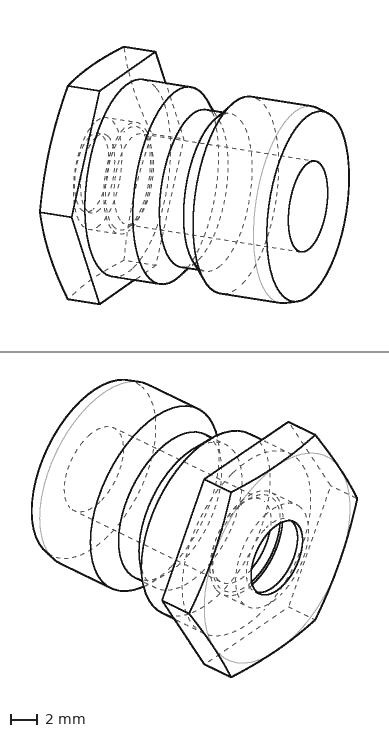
import cadquery as cq
import math

total_length = 18.0
head_thickness = 3.0
front_land_length = 3.98
groove_floor_length = 2.0
tip_chamfer_length = 1.0

across_corners = 19.63
across_flats = across_corners * math.cos(math.radians(30))
body_radius = 15.0 / 2
groove_radius = 12.0 / 2
chamfer_angle = math.radians(15)

entry_radius = 6.0 / 2
entry_lip = 0.5
recess_radius = 8.5 / 2
recess_end = 3.0
bore_radius = 6.9 / 2
bore_chamfer = 0.5


def revolve_about_x(points):
    """Solid of revolution from (x, radius) points, about the X axis."""
    return cq.Workplane("XY").polyline(points).close().revolve(360, (0, 0, 0), (1, 0, 0))


def hex_head():
    """Hexagon with corners on +Y and -Y, its outer corners cut by a shallow cone."""
    hexagon = cq.Workplane("YZ").polygon(6, across_corners).extrude(head_thickness)
    face_radius = across_flats / 2
    cone_radius = face_radius + head_thickness / math.tan(chamfer_angle)
    cone = revolve_about_x([
        (0, 0),
        (0, face_radius),
        (head_thickness, cone_radius),
        (head_thickness, 0),
    ])
    return hexagon.intersect(cone)


def grooved_body():
    """Round body with a 45 degree sided groove and a chamfered tip."""
    groove_depth = body_radius - groove_radius
    groove_start = head_thickness + front_land_length
    floor_start = groove_start + groove_depth
    floor_end = floor_start + groove_floor_length
    tip_radius = body_radius - tip_chamfer_length * math.tan(chamfer_angle)
    return revolve_about_x([
        (head_thickness, 0),
        (head_thickness, body_radius),
        (groove_start, body_radius),
        (floor_start, groove_radius),
        (floor_end, groove_radius),
        (floor_end + groove_depth, body_radius),
        (total_length - tip_chamfer_length, body_radius),
        (total_length, tip_radius),
        (total_length, 0),
    ])


def stepped_bore():
    """Narrow entry lip, wider recess, then a chamfered bore through to the tip."""
    return revolve_about_x([
        (0, 0),
        (0, entry_radius),
        (entry_lip, entry_radius),
        (entry_lip, recess_radius),
        (recess_end, recess_radius),
        (recess_end, bore_radius + bore_chamfer),
        (recess_end + bore_chamfer, bore_radius),
        (total_length, bore_radius),
        (total_length, 0),
    ])


result = hex_head().union(grooved_body()).cut(stepped_bore())